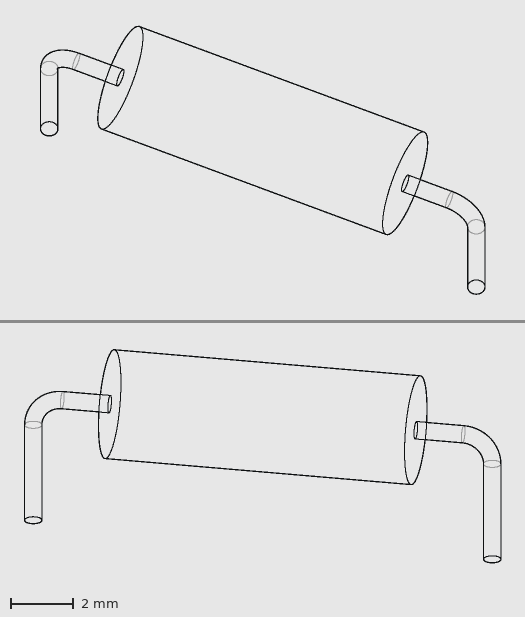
import cadquery as cq

overall_length = 15.56
body_length = 10.0
body_diameter = 3.5
lead_diameter = 0.56
bend_radius = 0.95
overall_height = 6.04

body_end = body_length / 2
lead_x = (overall_length - lead_diameter) / 2
bend_start_x = lead_x - bend_radius
tip_z = body_diameter / 2 - overall_height


def make_body():
    """Plain cylindrical body, centred on the origin."""
    end_face = cq.Workplane("YZ", origin=(-body_end, 0, 0)).circle(body_diameter / 2)
    return end_face.extrude(body_length)


def make_lead(side):
    """Wire lead that leaves a body end face and bends down; side is -1 or +1 along X."""
    bend_start = (side * bend_start_x, 0)
    bend_end = (side * lead_x, -bend_radius)
    path = (
        cq.Workplane("XZ")
        .moveTo(side * body_end, 0)
        .lineTo(*bend_start)
        .tangentArcPoint(bend_end, relative=False)
        .lineTo(side * lead_x, tip_z)
    )
    section = cq.Workplane("YZ", origin=(side * body_end, 0, 0)).circle(lead_diameter / 2)
    return section.sweep(path)


body = make_body()
leads = [make_lead(side) for side in (-1, 1)]

result = cq.Compound.makeCompound([body.val(), *[lead.val() for lead in leads]])